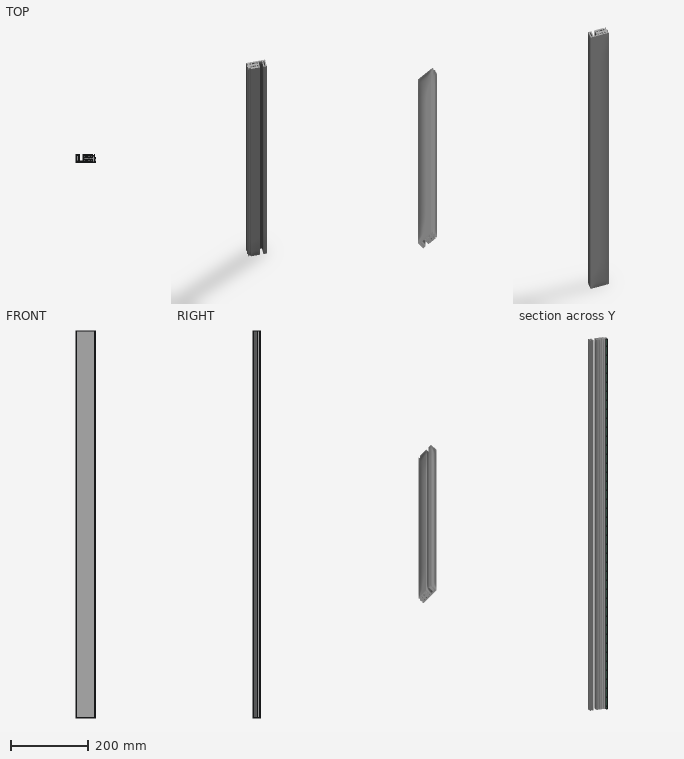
import cadquery as cq

length = 1000.0
width = 50.0
depth = 20.0
wall = 3.0

score_size = 1.0
score_offset = 2.0

leg_width = 3 * wall

box_left = 18.0
box_right = 48.0
shelf_bottom = 7.0
shelf_top = 12.0
back_wall_bottom = 16.0
chamber_spans = [(21.0, 24.0), (27.0, 29.0), (31.0, 36.0), (39.0, 42.0)]

groove_left = 42.0
groove_right = 47.0
groove_bottom = 17.0
lip_bottom = 8.0


def bar(left, right, bottom, top):
    """Full-length rectangular bar given by its cross-section limits."""
    block = cq.Workplane("XY").box(right - left, top - bottom, length, centered=False)
    return block.translate((left, bottom, 0))


def make_base():
    """Front plate with its front face scored near the right edge."""
    score_right = width - score_offset
    return bar(0, width, 0, wall).cut(bar(score_right - score_size, score_right, 0, score_size))


def make_leg():
    """Hollow leg with its outer face scored near the back edge."""
    score_top = depth - score_offset
    leg = bar(0, leg_width, 0, depth).cut(bar(0, score_size, score_top - score_size, score_top))
    return leg.cut(bar(wall, leg_width - wall, wall, depth - wall))


def make_box():
    """Box with two rows of closed chambers, a back groove and a side lip."""
    box = bar(box_left, box_right, wall, depth)
    for left, right in chamber_spans:
        box = box.cut(bar(left, right, shelf_top, back_wall_bottom))
        box = box.cut(bar(left, right, wall, shelf_bottom))
    box = box.cut(bar(groove_left, groove_right, groove_bottom, depth))
    return box.union(bar(box_right, width, lip_bottom, shelf_top))


result = make_base().union(make_leg()).union(make_box())